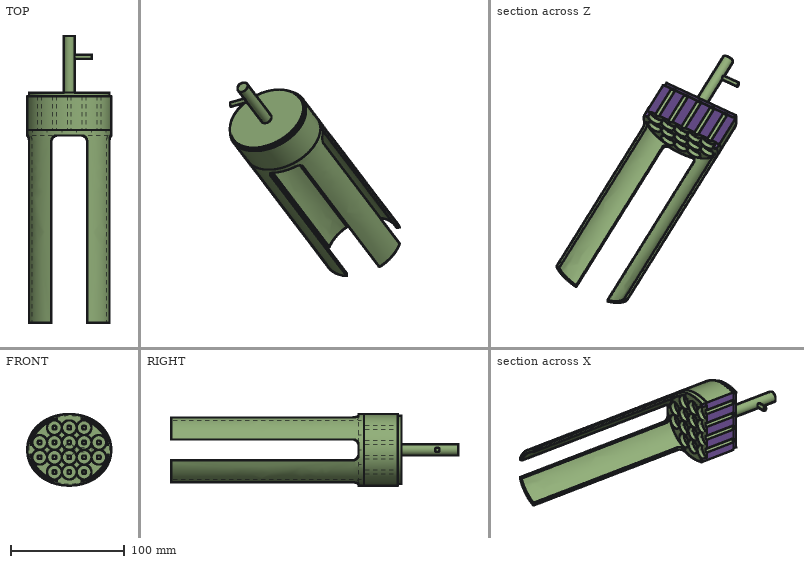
import cadquery as cq
outer_width = 74.27
outer_height = 63.39

leg_length = 165.0
cell_plate_thickness = 5.0
block_length = 30.0
cap_thickness = 3.0
rod_length = 50.0

cell_plate_start = leg_length
block_start = cell_plate_start + cell_plate_thickness
cap_start = block_start + block_length
rod_start = cap_start + cap_thickness
rod_end = rod_start + rod_length

leg_wall = 2.6
top_window_width = 31.4
side_window_height = 18.2
window_corner_radius = 5.0

cells_per_row = (3, 5, 5, 3)
cell_pitch = 13.05
cell_diameter = 13.0
contact_hole_diameter = 3.5

block_edge_chamfer = 0.5
cap_inset = 1.5

rod_diameter = 10.0
pin_diameter = 4.0
pin_reach = 20.0
pin_setback = 18.5


def elliptical_slab(inset, start, end):
    """Elliptical slab between two Y stations, smaller than the outline by the inset all round."""
    profile = cq.Workplane("XZ", origin=(0, start, 0))
    profile = profile.ellipse(outer_width / 2 - inset, outer_height / 2 - inset)
    return profile.extrude(start - end)


def cell_centers():
    """X and Z of every cell, in rows centred on the Y axis."""
    centers = []
    middle_row = (len(cells_per_row) - 1) / 2
    for row, count in enumerate(cells_per_row):
        middle_column = (count - 1) / 2
        for column in range(count):
            centers.append(((column - middle_column) * cell_pitch, (row - middle_row) * cell_pitch))
    return centers


def cell_cylinders(diameter, start, end):
    """One cylinder along Y at each cell."""
    profile = cq.Workplane("XZ", origin=(0, start, 0))
    return profile.pushPoints(cell_centers()).circle(diameter / 2).extrude(start - end)


def window(size_x, size_z, corner_edges):
    """Slot open at the leg tips, with its two inner corners rounded."""
    slot = cq.Workplane("XY").box(size_x, leg_length, size_z, centered=(True, False, True))
    return slot.edges(corner_edges).edges(">Y").fillet(window_corner_radius)


def make_cage():
    """Four legs hanging from a plate that is drilled through for the cells."""
    cage = elliptical_slab(0, 0, block_start)
    cage = cage.cut(elliptical_slab(leg_wall, 0, leg_length))
    cage = cage.cut(window(top_window_width, 2 * outer_height, "|Z"))
    cage = cage.cut(window(2 * outer_width, side_window_height, "|X"))
    return cage.cut(cell_cylinders(cell_diameter, cell_plate_start, block_start))


def make_block():
    """Solid block behind the cell plate, with one contact hole per cell."""
    block = elliptical_slab(0, block_start, cap_start)
    block = block.faces(">Y").edges().chamfer(block_edge_chamfer)
    return block.cut(cell_cylinders(contact_hole_diameter, block_start, cap_start))


def make_cap():
    """Slightly smaller plate that closes the block."""
    return elliptical_slab(cap_inset, cap_start, rod_start)


def make_rod():
    """Rod standing on the cap, with its side pin."""
    rod = cq.Workplane("XZ", origin=(0, rod_start, 0)).circle(rod_diameter / 2).extrude(-rod_length)
    pin = cq.Workplane("YZ", origin=(0, rod_end - pin_setback, 0))
    pin = pin.circle(pin_diameter / 2).extrude(pin_reach)
    return rod.union(pin)


cage = make_cage()
block = make_block()
cap = make_cap()
rod = make_rod()

result = cq.Compound.makeCompound([cage.val(), block.val(), cap.val(), rod.val()])